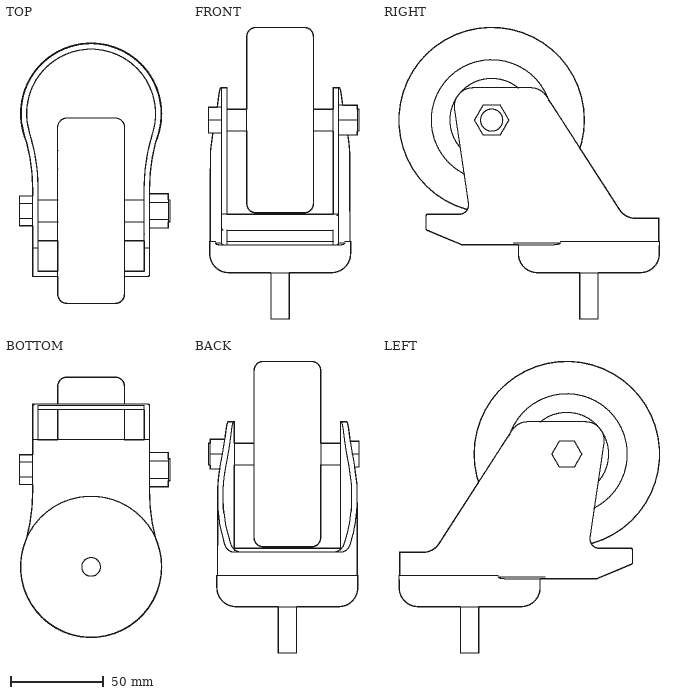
import cadquery as cq
import math


stem_radius = 5.0
stem_length = 25.0
bowl_radius = 38.0
bowl_height = 17.0
bowl_edge_radius = 10.4

overall_height = 157.0
wheel_radius = 50.0
wheel_width = 36.0
wheel_edge_radius = 5.0
hub_radius = 22.5
recess_radius = 32.5
recess_depth = 9.0
wheel_trail = 52.3
axle_y = -wheel_trail
axle_z = overall_height - wheel_radius

axle_radius = 6.0
head_flats = 14.0
head_length = 7.0
nut_flats = 16.0
nut_length = 10.0
bolt_end_length = 1.0

fork_width = 63.0
fork_half_width = fork_width / 2
wall = 3.0
back_radius = 37.7
flare_radius = 97.3
fork_front_y = -87.6

floor_thickness = 1.9
floor_top_z = stem_length + bowl_height
fork_bottom_z = floor_top_z - floor_thickness
floor_front_y = -68.5
back_top_z = 54.3
cheek_top_z = 124.5
slope_foot_y = 19.5
slope_head_y = -25.7
cheek_front_top_y = -74.0
cheek_front_foot_y = -63.9
tongue_top_z = 56.5
tongue_tip_bottom_z = 48.0
bar_bottom_z = 47.7
large_corner_radius = 10.0
small_corner_radius = 5.0
edge_round = 1.0

tiny = 0.02
hexagon_sides = 6


def plan_prism(inset):
    """Fork outline seen from above, moved inwards by inset and raised past the cheek top."""
    radius = back_radius - inset
    flare = flare_radius + inset
    half_width = fork_half_width - inset
    front_y = fork_front_y + inset
    flare_centre_x = half_width + flare
    flare_end_y = -math.sqrt((radius + flare) ** 2 - flare_centre_x ** 2)
    touch = radius / (radius + flare)
    touch_x = flare_centre_x * touch
    touch_y = flare_end_y * touch
    half_angle = math.atan2(-flare_end_y, flare_centre_x) / 2
    middle_x = flare_centre_x - flare * math.cos(half_angle)
    middle_y = flare_end_y + flare * math.sin(half_angle)
    return (
        cq.Workplane("XY")
        .workplane(offset=fork_bottom_z)
        .moveTo(-half_width, front_y)
        .lineTo(half_width, front_y)
        .lineTo(half_width, flare_end_y)
        .threePointArc((middle_x, middle_y), (touch_x, touch_y))
        .threePointArc((0, radius), (-touch_x, touch_y))
        .threePointArc((-middle_x, middle_y), (-half_width, flare_end_y))
        .close()
        .extrude(cheek_top_z - fork_bottom_z)
    )


def side_profile():
    """Side silhouette of the fork, as a block reaching across the whole width."""
    rounded_corners = [
        (slope_foot_y, back_top_z, large_corner_radius),
        (slope_head_y, cheek_top_z, large_corner_radius),
        (cheek_front_top_y, cheek_top_z, large_corner_radius),
        (cheek_front_foot_y, tongue_top_z, small_corner_radius),
    ]
    profile = (
        cq.Workplane("YZ")
        .moveTo(back_radius, fork_bottom_z)
        .lineTo(back_radius, back_top_z)
        .lineTo(slope_foot_y, back_top_z)
        .lineTo(slope_head_y, cheek_top_z)
        .lineTo(cheek_front_top_y, cheek_top_z)
        .lineTo(cheek_front_foot_y, tongue_top_z)
        .lineTo(fork_front_y, tongue_top_z)
        .lineTo(fork_front_y, tongue_tip_bottom_z)
        .lineTo(floor_front_y, fork_bottom_z)
        .close()
        .extrude(bowl_radius, both=True)
    )
    for y, z, radius in rounded_corners:
        corner = cq.selectors.BoxSelector(
            (-tiny, y - tiny, z - tiny), (tiny, y + tiny, z + tiny)
        )
        profile = profile.edges(corner).fillet(radius)
    return profile


def box_between(low, high):
    """Box from its low corner to its high corner."""
    size = [b - a for a, b in zip(low, high)]
    return cq.Workplane("XY").box(*size, centered=False).translate(low)


def edges_between(body, low, high):
    """Edges of body that lie wholly within the box from low to high."""
    grown_low = tuple(value - tiny for value in low)
    grown_high = tuple(value + tiny for value in high)
    return body.edges(cq.selectors.BoxSelector(grown_low, grown_high, boundingbox=True)).vals()


def make_floor():
    """Floor plate between the fork walls, ending short of the cross bar."""
    block = box_between(
        (-back_radius, floor_front_y, fork_bottom_z),
        (back_radius, back_radius, floor_top_z),
    )
    return block.intersect(plan_prism(wall / 2))


def round_outer_edges(fork):
    """Round the outer lower edges, the front edges of the tip and its +X upright corner."""
    side = fork_half_width
    front = fork_front_y
    tip_front_edges = [
        ((-side, front, tongue_top_z), (side, front, tongue_top_z)),
        ((-side, front, tongue_tip_bottom_z), (side, front, tongue_tip_bottom_z)),
        ((side, front, tongue_tip_bottom_z), (side, front, tongue_top_z)),
    ]
    sloping_edges = [
        ((x, front, fork_bottom_z), (x, floor_front_y, tongue_tip_bottom_z)) for x in (-side, side)
    ]
    picked = []
    for low, high in tip_front_edges + sloping_edges:
        picked += edges_between(fork, low, high)
    underside_edges = fork.faces("<Z").edges()
    picked += underside_edges.filter(lambda edge: edge.Center().y > floor_front_y + tiny).vals()
    return fork.newObject(picked).fillet(edge_round)


def make_fork():
    """Fork bent from plate: outer wall, cross bar at the tip and floor plate."""
    shell = plan_prism(0).cut(plan_prism(wall)).intersect(side_profile())
    fork = round_outer_edges(shell.union(make_floor()))
    inner_half_width = fork_half_width - wall
    below_bar = box_between(
        (-inner_half_width, fork_front_y, fork_bottom_z),
        (inner_half_width, fork_front_y + wall, bar_bottom_z),
    )
    return fork.cut(below_bar)


def make_swivel():
    """Solid swivel bowl with its rounded lower edge and the stem below it."""
    bowl = (
        cq.Workplane("XY")
        .workplane(offset=stem_length)
        .circle(bowl_radius)
        .extrude(bowl_height)
        .faces("<Z")
        .edges()
        .fillet(bowl_edge_radius)
    )
    stem = cq.Workplane("XY").circle(stem_radius).extrude(stem_length + bowl_height)
    return bowl.union(stem)


def axle_plane(x):
    """Workplane across the axle at position x, facing +X."""
    return cq.Workplane("YZ", origin=(x, axle_y, axle_z))


def hexagon(x, flats, length):
    """Hexagonal prism on the axle, with a corner pointing along Y."""
    corner_diameter = flats / math.cos(math.pi / hexagon_sides)
    return axle_plane(x).polygon(hexagon_sides, corner_diameter).extrude(length)


def make_axle_bolt():
    """Axle with a hexagon head at -X and a nut at +X, both seated on the fork cheeks."""
    shank_length = fork_width + nut_length + bolt_end_length
    shank = axle_plane(-fork_half_width).circle(axle_radius).extrude(shank_length)
    head = hexagon(-fork_half_width - head_length, head_flats, head_length)
    nut = hexagon(fork_half_width, nut_flats, nut_length)
    return shank.union(head).union(nut)


def make_frame():
    """Swivel, fork and axle bolt as one body."""
    return make_swivel().union(make_fork()).union(make_axle_bolt())


def make_wheel():
    """Wheel with rounded tread edges, a ring recess in each side and a bore for the axle."""
    half_width = wheel_width / 2
    wheel = axle_plane(-half_width).circle(wheel_radius).extrude(wheel_width)
    wheel = wheel.edges().fillet(wheel_edge_radius)
    for start_x in (-half_width, half_width - recess_depth):
        recess = axle_plane(start_x).circle(recess_radius).circle(hub_radius).extrude(recess_depth)
        wheel = wheel.cut(recess)
    bore = axle_plane(-half_width).circle(axle_radius).extrude(wheel_width)
    return wheel.cut(bore)


frame = make_frame()
wheel = make_wheel()

result = cq.Compound.makeCompound([frame.val(), wheel.val()])